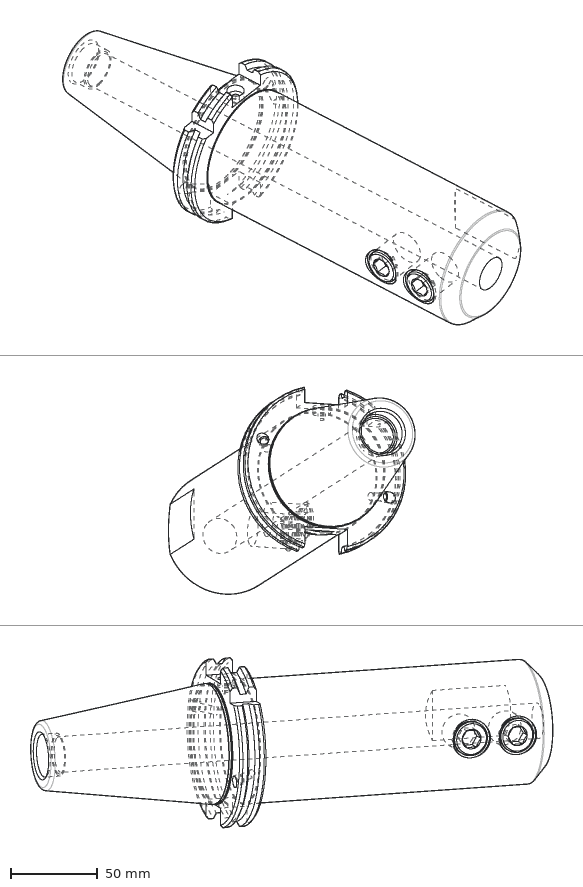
import cadquery as cq
import math


total_length = 301.8
taper_length = 102.3
taper_diameter = 70.0
large_end_radius = taper_diameter / 2
taper_ratio = 7 / 24
small_end_radius = large_end_radius - taper_length * taper_ratio / 2
small_end_x = -taper_length
small_end_fillet = 2.0

relief_depth = 0.45
taper_relief_width = 2.0
body_relief_width = 0.5

flange_diameter = 97.5
flange_radius = flange_diameter / 2
flange_start_x = 2.5
flange_end_x = 18.5
flange_middle_x = (flange_start_x + flange_end_x) / 2
flange_chamfer = 1.5
groove_depth = 3.0
groove_floor_width = 3.5
groove_half_angle = math.radians(30)
groove_mouth_width = groove_floor_width + 2 * groove_depth * math.tan(groove_half_angle)

slot_width = 25.5
upper_slot_floor = 37.7
lower_slot_floor = 35.3
corner_notch_offset = 30.0

chip_hole_diameter = 10.0
chip_hole_depth = 4.5
chip_pilot_diameter = 4.5
chip_pilot_depth = 3.0

coolant_mouth_diameter = 6.3
coolant_mouth_depth = 4.5
coolant_inner_diameter = 4.5
coolant_hole_depth = 15.0
coolant_tilt = 30.0
coolant_circle_radius = 41.0
coolant_angle = 21.0
drill_half_angle = math.radians(59)

body_diameter = 72.0
body_radius = body_diameter / 2
body_end_x = total_length - taper_length
nose_chamfer = 8.5
nose_fillet = 1.2
flat_offset = 33.0
flat_length = 52.8

bore_radius = 10.3
counterbore_radius = 12.5
counterbore_depth = 10.5
bore_mouth_chamfer = 1.5
bore_step_chamfer = 1.0

screw_diameter = 20.0
screw_spacing = 28.0
front_screw_inset = 24.0
front_screw_x = body_end_x - front_screw_inset
screw_positions = [front_screw_x - screw_spacing, front_screw_x]
screw_head_offset = 35.5
screw_tip_offset = 12.0
screw_mouth_diameter = 22.5
screw_edge_chamfer = 1.0
socket_width = 10.0
socket_depth = 7.5
socket_countersink = 1.0


def revolve_profile(points):
    """Revolve a closed (x, radius) outline about the X axis."""
    return cq.Workplane("XY").polyline(points).close().revolve(360, (0, 0, 0), (1, 0, 0))


def make_taper():
    relief_floor_radius = large_end_radius - relief_depth
    taper = revolve_profile([
        (small_end_x, 0),
        (small_end_x, small_end_radius),
        (0, large_end_radius),
        (relief_depth, relief_floor_radius),
        (taper_relief_width - relief_depth, relief_floor_radius),
        (taper_relief_width, large_end_radius),
        (flange_middle_x, large_end_radius),
        (flange_middle_x, 0),
    ])
    return taper.faces("<X").edges().fillet(small_end_fillet)


def make_flange():
    groove_floor_radius = flange_radius - groove_depth
    rim_radius = flange_radius - flange_chamfer
    return revolve_profile([
        (flange_start_x, 0),
        (flange_start_x, rim_radius),
        (flange_start_x + flange_chamfer, flange_radius),
        (flange_middle_x - groove_mouth_width / 2, flange_radius),
        (flange_middle_x - groove_floor_width / 2, groove_floor_radius),
        (flange_middle_x + groove_floor_width / 2, groove_floor_radius),
        (flange_middle_x + groove_mouth_width / 2, flange_radius),
        (flange_end_x - flange_chamfer, flange_radius),
        (flange_end_x, rim_radius),
        (flange_end_x, 0),
    ])


def make_body():
    body = revolve_profile([
        (flange_middle_x, 0),
        (flange_middle_x, body_radius),
        (flange_end_x, body_radius),
        (flange_end_x + body_relief_width / 2, body_radius - relief_depth),
        (flange_end_x + body_relief_width, body_radius),
        (body_end_x - nose_chamfer, body_radius),
        (body_end_x, body_radius - nose_chamfer),
        (body_end_x, 0),
    ])
    nose_region = cq.selectors.BoxSelector(
        (body_end_x - 2 * nose_chamfer, -flange_radius, -flange_radius),
        (body_end_x + nose_chamfer, flange_radius, flange_radius),
    )
    nose_edges = body.edges(nose_region).edges("%CIRCLE")
    return nose_edges.fillet(nose_fillet).cut(flat_cutter())


def flat_cutter():
    """Side flat on +Y that runs out to the body surface on a 45 degree ramp."""
    ramp = body_radius - flat_offset
    flat_start_x = body_end_x - flat_length
    return (
        cq.Workplane("XY")
        .polyline([
            (flat_start_x, flat_offset),
            (flat_start_x - ramp, body_radius),
            (body_end_x, body_radius),
            (body_end_x, flat_offset),
        ])
        .close()
        .extrude(body_radius, both=True)
    )


def rim_cutter(y_min, y_max, z_min, z_max):
    """Box through the whole flange thickness."""
    return cq.Workplane("XY").box(
        flange_end_x - flange_start_x, y_max - y_min, z_max - z_min, centered=False
    ).translate((flange_start_x, y_min, z_min))


def cut_rim(flange):
    half_slot = slot_width / 2
    flange = flange.cut(rim_cutter(-half_slot, half_slot, upper_slot_floor, flange_radius))
    flange = flange.cut(rim_cutter(-half_slot, half_slot, -flange_radius, -lower_slot_floor))
    return flange.cut(
        rim_cutter(-flange_radius, -corner_notch_offset, corner_notch_offset, flange_radius)
    )


def chip_hole_cutter():
    hole = cq.Workplane("XY").circle(chip_hole_diameter / 2).extrude(-chip_hole_depth)
    pilot_end_depth = chip_hole_depth + chip_pilot_depth
    pilot = cq.Workplane("XY").circle(chip_pilot_diameter / 2).extrude(-pilot_end_depth)
    return hole.union(pilot).translate((flange_middle_x, 0, upper_slot_floor))


def coolant_hole_cutter(angle):
    """Tilted, stepped blind hole with a conical end, at an angle about X measured from +Y."""
    mouth_radius = coolant_mouth_diameter / 2
    inner_radius = coolant_inner_diameter / 2
    drill = revolve_profile([
        (-coolant_mouth_diameter, 0),
        (-coolant_mouth_diameter, mouth_radius),
        (coolant_mouth_depth, mouth_radius),
        (coolant_mouth_depth, inner_radius),
        (coolant_hole_depth, inner_radius),
        (coolant_hole_depth + inner_radius / math.tan(drill_half_angle), 0),
    ])
    drill = drill.rotate((0, 0, 0), (0, 0, 1), -coolant_tilt)
    drill = drill.translate((flange_start_x, coolant_circle_radius, 0))
    return drill.rotate((0, 0, 0), (1, 0, 0), angle)


def bore_cutter():
    """Through bore with a chamfered counterbore at the small end of the taper."""
    counterbore_end_x = small_end_x + counterbore_depth
    return revolve_profile([
        (small_end_x, 0),
        (small_end_x, counterbore_radius + bore_mouth_chamfer),
        (small_end_x + bore_mouth_chamfer, counterbore_radius),
        (counterbore_end_x, counterbore_radius),
        (counterbore_end_x, bore_radius + bore_step_chamfer),
        (counterbore_end_x + bore_step_chamfer, bore_radius),
        (body_end_x, bore_radius),
        (body_end_x, 0),
    ])


def side_cylinder(x, radius, near, far):
    """Cylinder along -Y between two distances from the axis."""
    return cq.Workplane("XZ", origin=(x, -near, 0)).circle(radius).extrude(far - near)


def screw_hole_cutter(x):
    """Screw hole down to the screw tip, with a countersunk mouth at the body surface."""
    hole_radius = screw_diameter / 2
    mouth_radius = screw_mouth_diameter / 2
    rim_offset = math.sqrt(body_radius ** 2 - mouth_radius ** 2)
    cone_end_offset = rim_offset - (mouth_radius - hole_radius)
    return (
        cq.Workplane("XY")
        .polyline([
            (0, -screw_tip_offset),
            (hole_radius, -screw_tip_offset),
            (hole_radius, -cone_end_offset),
            (mouth_radius, -rim_offset),
            (mouth_radius, -body_radius),
            (0, -body_radius),
        ])
        .close()
        .revolve(360, (0, 0, 0), (0, 1, 0))
        .translate((x, 0, 0))
    )


def make_screw(x):
    screw = side_cylinder(x, screw_diameter / 2, screw_tip_offset, screw_head_offset)
    screw = screw.faces("<Y").edges().chamfer(screw_edge_chamfer)
    corner_diameter = socket_width / math.cos(math.pi / 6)
    socket = (
        cq.Workplane("XZ", origin=(x, -screw_head_offset + socket_depth, 0))
        .polygon(6, corner_diameter)
        .extrude(socket_depth)
    )
    socket_mouth = (
        cq.Workplane("XZ", origin=(x, -screw_head_offset, 0))
        .circle(corner_diameter / 2)
        .extrude(-socket_countersink, taper=45)
    )
    return screw.cut(socket).cut(socket_mouth)


def make_holder():
    holder = make_taper().union(cut_rim(make_flange())).union(make_body())
    holder = holder.cut(chip_hole_cutter())
    for angle in (coolant_angle, coolant_angle + 180):
        holder = holder.cut(coolant_hole_cutter(angle))
    holder = holder.cut(bore_cutter())
    for x in screw_positions:
        holder = holder.cut(screw_hole_cutter(x))
    return holder


holder = make_holder()
screws = [make_screw(x) for x in screw_positions]
result = cq.Compound.makeCompound([holder.val(), *[screw.val() for screw in screws]])